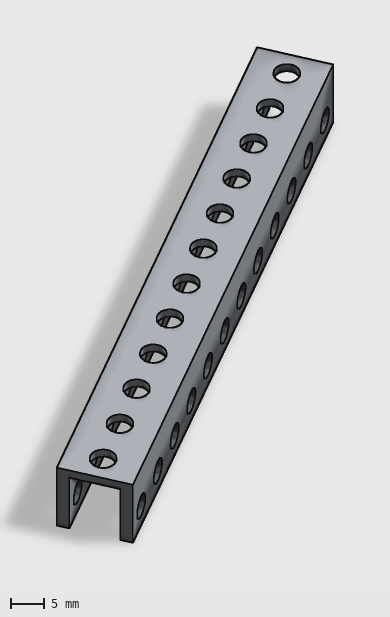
import cadquery as cq

width = 12.0
length = 96.0
height = 12.0

side_wall = 2.0
top_wall = 1.5

hole_diameter = 4.0
hole_pitch = 8.0
side_hole_height = 4.0
hole_count = round(length / hole_pitch)


def channel():
    """U-section open downwards, centred on X and Y, standing on Z = 0."""
    body = cq.Workplane("XY").box(width, length, height, centered=(True, True, False))
    cavity = cq.Workplane("XY").box(
        width - 2 * side_wall, length, height - top_wall, centered=(True, True, False)
    )
    return body.cut(cavity)


def top_holes():
    """Row of vertical cutters along the middle of the top wall."""
    return (
        cq.Workplane("XY")
        .rarray(hole_pitch, hole_pitch, 1, hole_count)
        .circle(hole_diameter / 2)
        .extrude(height)
    )


def side_holes():
    """Row of cross cutters passing through both side walls."""
    return (
        cq.Workplane("YZ", origin=(0, 0, side_hole_height))
        .rarray(hole_pitch, hole_pitch, hole_count, 1)
        .circle(hole_diameter / 2)
        .extrude(width / 2, both=True)
    )


result = channel().cut(top_holes()).cut(side_holes())